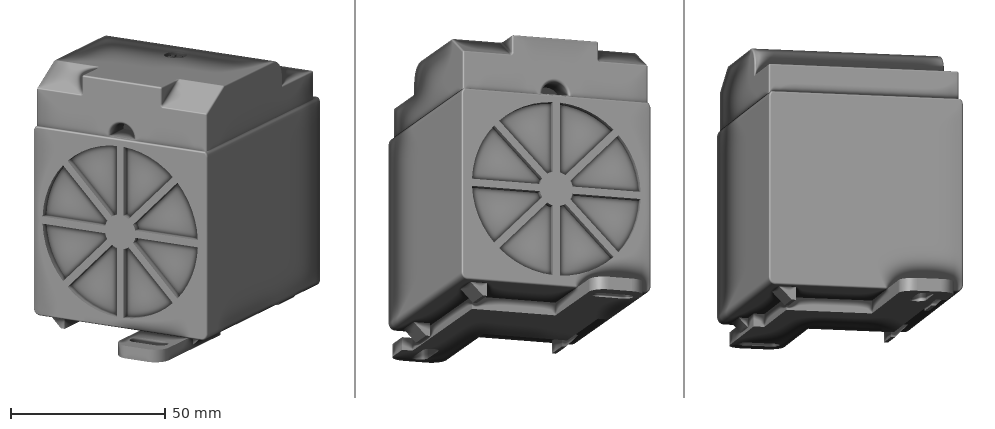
import cadquery as cq
import math

body_width = 64.6
body_length = 75.5
foot_height = 4.2
body_top = 67.9
body_long_radius = 2.3
body_top_trim = 0.5
edge_round = 0.6

overall_height = 87.2
cover_width = 63.2
cover_front = -36.8
cover_back = 34.4
cover_step_y = 13.6
cover_step_z = 77.5
cover_shoulder_radius = 6.3

bevel_inner_x = 14.8
bevel_start_y = -25.2
bevel_angle = 30.0

notch_center_z = 68.3
notch_radius = 4.5
notch_depth = 9.2
notch_flare = 0.9

screw_y = -1.0
screw_hole_radius = 3.7
screw_head_radius = 2.9
screw_groove_depth = 1.1
screw_head_sink = 0.3
screw_head_round = 0.7
cross_length = 4.1
cross_width = 1.4
cross_depth = 0.7

fan_radius = 28.9
fan_hub_radius = 5.7
fan_center_z = 36.7
fan_depth = 2.5
spoke_width = 2.4
spoke_count = 8

foot_outer_top = 28.2
foot_inner = 22.6
foot_inner_y = 23.9
foot_outer_y = 34.4

plate_half_width = 21.5
plate_half_length = 15.8
tab_inner_x = 7.0
tab_outer_x = 25.1
tab_corner_radius = 5.0
front_tab_end = -55.3
back_tab_end = 59.2
back_tab_step_y = 45.0
slot_width = 5.3
front_slot_length = 13.7
front_slot_y = -47.3
back_slot_length = 15.5
back_slot_y = 48.3

body_front = -body_length / 2
bevel_bottom_z = overall_height - (bevel_start_y - cover_front) * math.tan(math.radians(bevel_angle))
tab_center_x = (tab_inner_x + tab_outer_x) / 2


def box(x_min, x_max, y_min, y_max, z_min, z_max):
    """Box given by its limits along each axis."""
    size = (x_max - x_min, y_max - y_min, z_max - z_min)
    return cq.Workplane("XY").box(*size, centered=False).translate((x_min, y_min, z_min))


def make_body():
    """Main block with rounded long edges, trimmed flat on top, and lightly rounded end edges."""
    full_height = body_top + body_top_trim - foot_height
    block = cq.Workplane("XY").box(body_width, body_length, full_height, centered=(True, True, False))
    block = block.translate((0, 0, foot_height)).edges("|Y").fillet(body_long_radius)
    trim = cq.Workplane("XY", origin=(0, 0, body_top)).rect(body_width, body_length).extrude(body_top_trim)
    return block.cut(trim).faces("<Y or >Y").edges().fillet(edge_round)


def make_fan_pockets():
    """Ring of pie-shaped pockets on the front face, separated by straight spokes."""
    front = cq.Workplane("XZ", origin=(0, body_front, fan_center_z))
    ring = front.circle(fan_radius).circle(fan_hub_radius).extrude(-fan_depth)
    for index in range(spoke_count // 2):
        angle = index * 360 / spoke_count
        spoke = front.rect(2 * fan_radius + spoke_width, spoke_width).extrude(-fan_depth)
        ring = ring.cut(spoke.rotate((0, 0, fan_center_z), (0, 1, fan_center_z), angle))
    return ring


def make_bevel_cutter(side):
    """Sloped cut that bevels one front top corner of the cover; side is -1 or +1."""
    return (
        cq.Workplane("YZ", origin=(side * bevel_inner_x, 0, 0))
        .moveTo(bevel_start_y, overall_height)
        .lineTo(cover_front, bevel_bottom_z)
        .lineTo(cover_front, overall_height)
        .close()
        .extrude(side * (cover_width / 2 - bevel_inner_x))
    )


def bevel_outline(side):
    """Selector for the edges that surround one bevelled corner; side is -1 or +1."""
    x_inner = side * (bevel_inner_x - edge_round)
    x_outer = side * (cover_width / 2 + edge_round)
    return cq.selectors.BoxSelector(
        (min(x_inner, x_outer), cover_front - edge_round, bevel_bottom_z - edge_round),
        (max(x_inner, x_outer), bevel_start_y + edge_round, overall_height + edge_round),
        boundingbox=True,
    )


def make_cover():
    """Stepped cover with a rounded shoulder and two bevelled front corners."""
    cover = (
        cq.Workplane("YZ", origin=(-cover_width / 2, 0, 0))
        .moveTo(cover_front, body_top)
        .lineTo(cover_front, overall_height)
        .lineTo(cover_step_y - cover_shoulder_radius, overall_height)
        .radiusArc((cover_step_y, overall_height - cover_shoulder_radius), cover_shoulder_radius)
        .lineTo(cover_step_y, cover_step_z)
        .lineTo(cover_back, cover_step_z)
        .lineTo(cover_back, body_top)
        .close()
        .extrude(cover_width)
    )
    for side in (-1, 1):
        cover = cover.cut(make_bevel_cutter(side))
    rounded = cover.faces("<X or >X or <Y or >Y").edges("not <Z")
    for side in (-1, 1):
        rounded = rounded.add(cover.edges(bevel_outline(side)))
    return rounded.fillet(edge_round)


def cut_notch(cover):
    """Cut a half-round opening with a rounded mouth and a low sill into the cover's front wall."""
    notch = cq.Workplane("XZ", origin=(0, cover_front, notch_center_z)).circle(notch_radius)
    cover = cover.cut(notch.extrude(-notch_depth))
    mouth = cq.selectors.BoxSelector(
        (-notch_radius, cover_front - edge_round, body_top),
        (notch_radius, cover_front + edge_round, notch_center_z + notch_radius),
    )
    cover = cover.faces("<Y").edges(mouth).edges("%CIRCLE").fillet(notch_flare)
    reach = notch_radius + notch_flare
    sill = box(-reach, reach, cover_front, cover_front + notch_depth, body_top, notch_center_z)
    return cover.union(sill)


def make_screw_cutter():
    """Clearance around a sunk, cross-slotted screw head."""
    hole_floor = cq.Workplane("XY", origin=(0, screw_y, overall_height - screw_groove_depth))
    head_height = screw_groove_depth - screw_head_sink
    head = hole_floor.circle(screw_head_radius).extrude(head_height)
    head = head.faces(">Z").edges().chamfer(screw_head_round)
    cross_floor = cq.Workplane("XY", origin=(0, screw_y, overall_height - screw_head_sink - cross_depth))
    cross = cross_floor.rect(cross_length, cross_width).extrude(cross_depth)
    cross = cross.union(cross_floor.rect(cross_width, cross_length).extrude(cross_depth))
    return hole_floor.circle(screw_hole_radius).extrude(screw_groove_depth).cut(head.cut(cross))


def make_feet():
    """Four corner feet whose outer sides are undercut at 45 degrees."""
    foot = (
        cq.Workplane("XZ", origin=(0, foot_outer_y, 0))
        .moveTo(foot_inner, 0)
        .lineTo(foot_outer_top - foot_height, 0)
        .lineTo(foot_outer_top, foot_height)
        .lineTo(foot_inner, foot_height)
        .close()
        .extrude(foot_outer_y - foot_inner_y)
    )
    pair = foot.union(foot.mirror("YZ"))
    return pair.union(pair.mirror("XZ"))


def make_mounting_plate():
    """Flat plate under the body with one slotted tab at the front and one at the back."""
    plate = box(-plate_half_width, plate_half_width, -plate_half_length, plate_half_length, 0, foot_height)
    front_tab = box(tab_inner_x, tab_outer_x, front_tab_end, -plate_half_length, 0, foot_height)
    front_tab = front_tab.edges("|Z and <Y").fillet(tab_corner_radius)
    back_tab = box(-tab_outer_x, -tab_inner_x, back_tab_step_y, back_tab_end, 0, foot_height)
    back_tab = back_tab.edges("|Z and >Y").fillet(tab_corner_radius)
    back_neck = box(-plate_half_width, -tab_inner_x, plate_half_length, back_tab_step_y, 0, foot_height)
    plate = plate.union(front_tab).union(back_neck).union(back_tab)

    front_slot = cq.Workplane("XY").slot2D(front_slot_length, slot_width).extrude(foot_height)
    back_slot = cq.Workplane("XY").slot2D(back_slot_length, slot_width, 90).extrude(foot_height)
    plate = plate.cut(front_slot.translate((tab_center_x, front_slot_y, 0)))
    return plate.cut(back_slot.translate((-tab_center_x, back_slot_y, 0)))


body = make_body().cut(make_fan_pockets())
cover = cut_notch(make_cover()).cut(make_screw_cutter())
result = body.union(cover).union(make_feet()).union(make_mounting_plate())